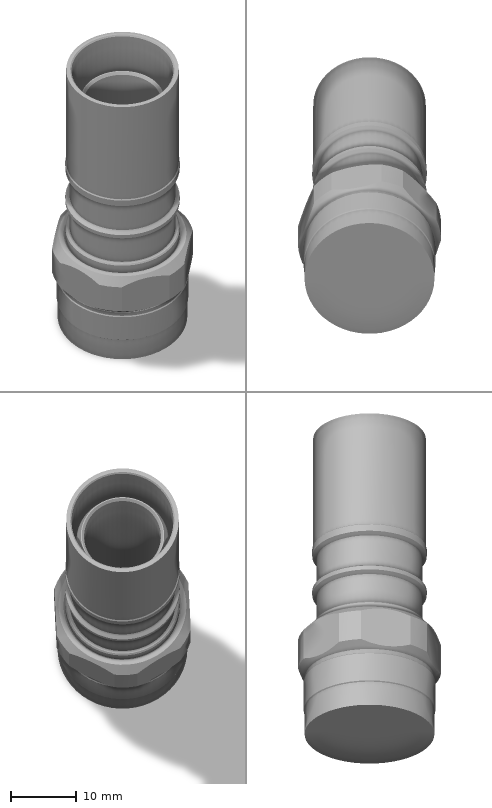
import cadquery as cq
import math

total_height = 50.8

sleeve_radius = 9.95
band_radius = 10.1
band_bottom = 3.95
band_top = 8.95
band_chamfer = band_radius - sleeve_radius

nut_bottom = 9.6
nut_top = 16.95
nut_across_flats = 20.55
nut_across_corners = 22.0
nut_end_radius = 9.8
nut_chamfer_height = 1.2
nut_corner_radius = nut_across_corners / 2

collar_radius = 8.8
collar_top = 18.45
collar_chamfer = 0.2
neck_radius = 8.15

ring_bottom = 23.4
ring_top = 25.0
ring_bevel_height = 0.45

flange_bottom = 30.05
flange_bevel_height = 0.45
flange_chamfer = 0.15
flange_top = 31.8
tube_radius = 8.65

countersink_radius = 9.05
countersink_depth = countersink_radius - collar_radius

tube_bore_radius = 7.8
tube_bore_chamfer = 0.2
socket_floor = flange_top

ferrule_radius = 7.05
ferrule_tip = 44.75
ferrule_tip_radius = 6.4
ferrule_taper_height = 1.85
ferrule_bore_radius = 5.9
ferrule_bore_chamfer = 0.35
ferrule_floor = nut_top

conductor_hole_radius = 2.35
conductor_hole_depth = 5.1


def revolve_profile(points):
    """Turn a closed (radius, height) outline about the Z axis."""
    return cq.Workplane("XZ").polyline(points).close().revolve(360, (0, 0), (0, 1))


def make_body():
    """Outer turned shape, from the coupling sleeve up to the cable tube."""
    return revolve_profile([
        (0, 0),
        (sleeve_radius, 0),
        (sleeve_radius, band_bottom),
        (band_radius, band_bottom + band_chamfer),
        (band_radius, band_top - band_chamfer),
        (sleeve_radius, band_top),
        (sleeve_radius, nut_bottom),
        (collar_radius, nut_bottom),
        (collar_radius, collar_top - collar_chamfer),
        (collar_radius - collar_chamfer, collar_top),
        (neck_radius, collar_top),
        (neck_radius, ring_bottom),
        (collar_radius, ring_bottom + ring_bevel_height),
        (collar_radius, ring_top - ring_bevel_height),
        (neck_radius, ring_top),
        (neck_radius, flange_bottom),
        (collar_radius, flange_bottom + flange_bevel_height),
        (collar_radius, flange_top - flange_chamfer),
        (tube_radius, flange_top),
        (tube_radius, total_height),
        (0, total_height),
    ])


def make_nut():
    """Hexagon with flats facing +X and -X, trimmed by a turned blank and countersunk on top."""
    hexagon = (
        cq.Workplane("XY")
        .workplane(offset=nut_bottom)
        .polygon(6, nut_across_flats / math.cos(math.pi / 6))
        .extrude(nut_top - nut_bottom)
        .rotate((0, 0, 0), (0, 0, 1), 30)
    )
    turned_blank = revolve_profile([
        (collar_radius, nut_bottom),
        (nut_end_radius, nut_bottom),
        (nut_corner_radius, nut_bottom + nut_chamfer_height),
        (nut_corner_radius, nut_top - nut_chamfer_height),
        (nut_end_radius, nut_top),
        (countersink_radius, nut_top),
        (collar_radius, nut_top - countersink_depth),
    ])
    return hexagon.intersect(turned_blank)


def make_cavity():
    """Space inside the cable tube, around and within the inner ferrule."""
    return revolve_profile([
        (0, ferrule_floor - conductor_hole_depth),
        (conductor_hole_radius, ferrule_floor - conductor_hole_depth),
        (conductor_hole_radius, ferrule_floor),
        (ferrule_bore_radius, ferrule_floor),
        (ferrule_bore_radius, ferrule_tip - ferrule_bore_chamfer),
        (ferrule_bore_radius + ferrule_bore_chamfer, ferrule_tip),
        (ferrule_tip_radius, ferrule_tip),
        (ferrule_radius, ferrule_tip - ferrule_taper_height),
        (ferrule_radius, socket_floor),
        (tube_bore_radius, socket_floor),
        (tube_bore_radius, total_height - tube_bore_chamfer),
        (tube_bore_radius + tube_bore_chamfer, total_height),
        (0, total_height),
    ])


result = make_body().union(make_nut()).cut(make_cavity())